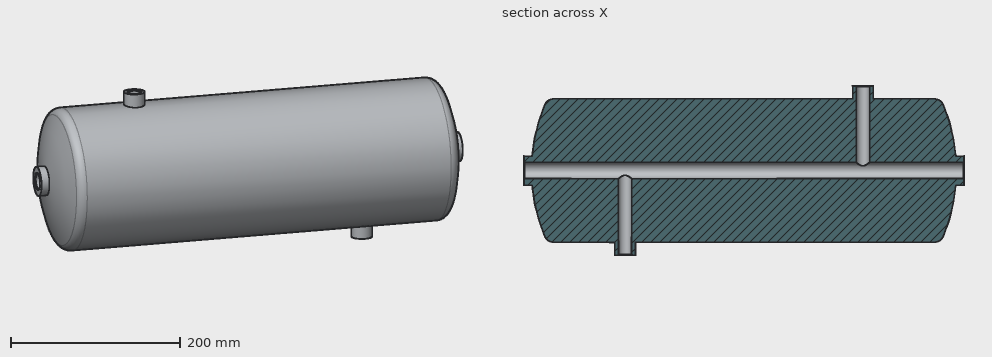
import cadquery as cq
import math

overall_length = 520.0
overall_height = 200.0

body_diameter = 170.0
straight_length = 449.5
knuckle_radius = 12.0
crown_radius = 203.0

end_nozzle_diameter = 35.0
end_bore_diameter = 18.5

side_nozzle_diameter = 25.0
side_bore_diameter = 15.0
side_nozzle_offset = 140.5
side_nozzle_reach = overall_height / 2

mouth_chamfer = 1.0


def dished_body():
    """Solid of revolution about Y: a straight cylinder with two dished ends."""
    radius = body_diameter / 2
    half_straight = straight_length / 2

    knuckle_centre = radius - knuckle_radius
    centre_distance = crown_radius - knuckle_radius
    tangent_angle = math.asin(knuckle_centre / centre_distance)
    crown_centre = half_straight - centre_distance * math.cos(tangent_angle)

    def on_knuckle(angle):
        x = knuckle_centre + knuckle_radius * math.sin(angle)
        y = half_straight + knuckle_radius * math.cos(angle)
        return x, y

    def on_crown(angle):
        x = crown_radius * math.sin(angle)
        y = crown_centre + crown_radius * math.cos(angle)
        return x, y

    def other_end(point):
        return point[0], -point[1]

    knuckle_middle = on_knuckle((tangent_angle + math.pi / 2) / 2)
    crown_edge = on_crown(tangent_angle)
    crown_middle = on_crown(tangent_angle / 2)
    crown_top = on_crown(0)

    return (
        cq.Workplane("XY")
        .moveTo(*other_end(crown_top))
        .threePointArc(other_end(crown_middle), other_end(crown_edge))
        .threePointArc(other_end(knuckle_middle), (radius, -half_straight))
        .lineTo(radius, half_straight)
        .threePointArc(knuckle_middle, crown_edge)
        .threePointArc(crown_middle, crown_top)
        .close()
        .revolve(360, (0, 0, 0), (0, 1, 0))
    )


def rod(diameter, length, start, direction):
    """Round bar from a start point along a direction."""
    return cq.Workplane(cq.Solid.makeCylinder(diameter / 2, length, start, direction))


body = dished_body()

end_start = cq.Vector(0, -overall_length / 2, 0)
along_y = cq.Vector(0, 1, 0)
body = body.union(rod(end_nozzle_diameter, overall_length, end_start, along_y))
body = body.cut(rod(end_bore_diameter, overall_length, end_start, along_y))

for side in (1, -1):
    bore_start = cq.Vector(0, -side * side_nozzle_offset, 0)
    nozzle_start = bore_start + cq.Vector(0, 0, side * body_diameter / 4)
    nozzle_length = side_nozzle_reach - body_diameter / 4
    outward = cq.Vector(0, 0, side)
    body = body.union(rod(side_nozzle_diameter, nozzle_length, nozzle_start, outward))
    body = body.cut(rod(side_bore_diameter, side_nozzle_reach, bore_start, outward))

smallest_circle = cq.selectors.RadiusNthSelector(0)
for end_face in ("<Y", ">Y", "<Z", ">Z"):
    body = body.faces(end_face).edges(smallest_circle).chamfer(mouth_chamfer)

result = body